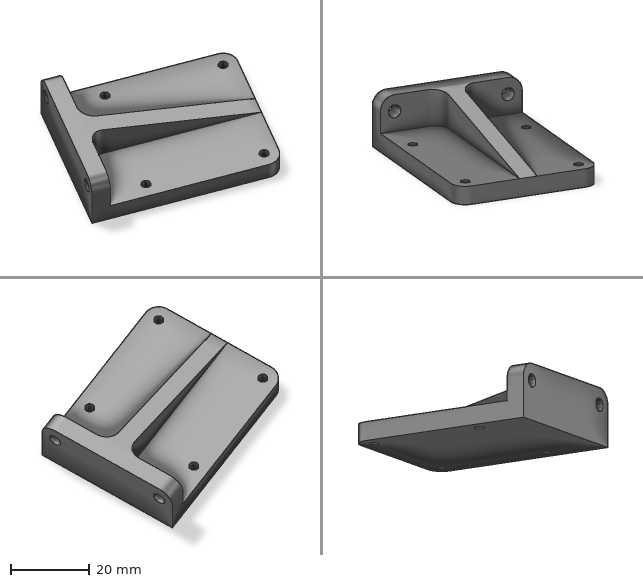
import cadquery as cq

width = 40.0
length = 52.0
height = 15.0

thickness = 5.0
corner_radius = 4.0

hole_inset = 4.0
plate_hole_diameter = 2.5
plate_hole_spacing = 32.0
wall_hole_diameter = 3.5
wall_hole_drop = 4.5

hole_x = width / 2 - hole_inset


def make_plate():
    """Base plate with rounded back corners and four through holes."""
    plate = (
        cq.Workplane("XY")
        .box(width, length, thickness, centered=(True, False, False))
        .edges("|Z and >Y")
        .fillet(corner_radius)
    )
    back_hole_y = length - hole_inset
    centers = [
        (x, y)
        for x in (-hole_x, hole_x)
        for y in (back_hole_y - plate_hole_spacing, back_hole_y)
    ]
    holes = (
        cq.Workplane("XY")
        .pushPoints(centers)
        .circle(plate_hole_diameter / 2)
        .extrude(thickness)
    )
    return plate.cut(holes)


def make_wall():
    """Upright front wall with rounded top corners and two through holes."""
    wall = (
        cq.Workplane("XY")
        .box(width, thickness, height, centered=(True, False, False))
        .edges("|Y and >Z")
        .fillet(corner_radius)
    )
    hole_z = height - wall_hole_drop
    holes = (
        cq.Workplane("XZ")
        .pushPoints([(-hole_x, hole_z), (hole_x, hole_z)])
        .circle(wall_hole_diameter / 2)
        .extrude(-thickness)
    )
    return wall.cut(holes)


def make_rib():
    """Sloping centre rib that flares into the wall with a fillet on each side."""
    half_rib = thickness / 2
    half_root = half_rib + corner_radius
    flare_end = thickness + corner_radius

    footprint = (
        cq.Workplane("XY")
        .moveTo(-half_root, thickness)
        .lineTo(half_root, thickness)
        .radiusArc((half_rib, flare_end), corner_radius)
        .lineTo(half_rib, length)
        .lineTo(-half_rib, length)
        .lineTo(-half_rib, flare_end)
        .radiusArc((-half_root, thickness), corner_radius)
        .close()
        .extrude(height)
    )
    wedge = (
        cq.Workplane("YZ")
        .moveTo(thickness, thickness)
        .lineTo(length, thickness)
        .lineTo(thickness, height)
        .close()
        .extrude(half_root, both=True)
    )
    return footprint.intersect(wedge)


result = make_plate().union(make_wall()).union(make_rib())